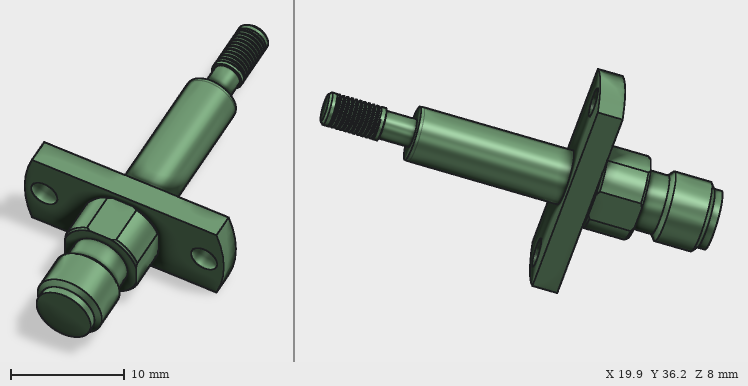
import cadquery as cq
import math


flange_length = 19.95
flange_height = 8.0
flange_thickness = 2.3
flange_end_radius = 11.22
mount_hole_diameter = 2.6
mount_hole_spacing = 16.0

connector_length = 11.48
collar_diameter = 6.08
collar_length = 0.2
nut_diameter = 7.7
nut_across_flats = 7.13
nut_length = 4.27
nut_chamfer_length = 0.2
nut_chamfer_depth = 0.15
barrel_diameter = 5.43
barrel_tip_length = 0.72
head_diameter = 6.45
head_length = 4.25
head_chamfer_length = 0.45

overall_length = 36.2
pin_length = 8.18
sleeve_diameter = 5.0
sleeve_chamfer_length = 0.3
sleeve_chamfer_depth = 0.05
pin_neck_diameter = 2.57
pin_diameter = 3.0
pin_head_length = 5.3
pin_tip_chamfer = 0.25

thread_pitch = 0.4
thread_turns = 12
thread_depth = 0.18
thread_groove_width = 0.3
tip_band_length = 0.7
shoulder_band_length = 0.4

connector_face = -connector_length
head_front = connector_face + barrel_tip_length
head_back = head_front + head_length
nut_back = -collar_length
nut_front = nut_back - nut_length
pin_tip = overall_length - connector_length
pin_shoulder = pin_tip - pin_head_length
sleeve_end = pin_tip - pin_length
thread_start = pin_shoulder + shoulder_band_length
thread_end = pin_tip - tip_band_length


def cylinder(diameter, start, end):
    """Round bar on the Y axis between two stations."""
    length = end - start
    return cq.Workplane("XZ", origin=(0, start, 0)).circle(diameter / 2).extrude(-length)


def chamfered_cylinder(diameter, start, end, chamfer_length, chamfer_depth, front, back):
    """Round bar on the Y axis with conical chamfers on the chosen ends."""
    radius = diameter / 2
    points = [(0, start)]
    if front:
        points += [(radius - chamfer_depth, start), (radius, start + chamfer_length)]
    else:
        points += [(radius, start)]
    if back:
        points += [(radius, end - chamfer_length), (radius - chamfer_depth, end)]
    else:
        points += [(radius, end)]
    points += [(0, end)]
    return cq.Workplane("XY").polyline(points).close().revolve(360, (0, 0), (0, 1))


def make_flange():
    """Plate with flat long sides, arched short ends and two mounting holes."""
    half_length = flange_length / 2
    half_height = flange_height / 2
    arch_rise = flange_end_radius - math.sqrt(flange_end_radius**2 - half_height**2)
    corner_x = half_length - arch_rise
    return (
        cq.Workplane("XZ")
        .moveTo(-corner_x, -half_height)
        .lineTo(corner_x, -half_height)
        .threePointArc((half_length, 0), (corner_x, half_height))
        .lineTo(-corner_x, half_height)
        .threePointArc((-half_length, 0), (-corner_x, -half_height))
        .close()
        .pushPoints([(-mount_hole_spacing / 2, 0), (mount_hole_spacing / 2, 0)])
        .circle(mount_hole_diameter / 2)
        .extrude(-flange_thickness)
    )


def make_nut():
    """Chamfered round nut with four wrench flats."""
    blank = chamfered_cylinder(
        nut_diameter, nut_front, nut_back, nut_chamfer_length, nut_chamfer_depth, True, True
    )
    flats = (
        cq.Workplane("XZ", origin=(0, nut_front, 0))
        .rect(nut_across_flats, nut_across_flats)
        .extrude(-nut_length)
    )
    return blank.intersect(flats)


def make_connector():
    """Barrel with a head chamfered down to it, a nut and a thin collar."""
    head_chamfer_depth = (head_diameter - barrel_diameter) / 2
    head = chamfered_cylinder(
        head_diameter, head_front, head_back, head_chamfer_length, head_chamfer_depth, True, True
    )
    barrel = cylinder(barrel_diameter, connector_face, 0)
    collar = cylinder(collar_diameter, nut_back, 0)
    return barrel.union(head).union(make_nut()).union(collar)


def make_thread_groove():
    """Left-hand helical V groove, swept along Z and then turned onto the Y axis."""
    surface_radius = pin_diameter / 2
    overshoot = 0.07
    half_width = thread_groove_width / 2 * (thread_depth + overshoot) / thread_depth
    helix_length = thread_turns * thread_pitch
    path = cq.Wire.makeHelix(thread_pitch, helix_length, surface_radius, lefthand=True)
    groove = (
        cq.Workplane("XZ")
        .polyline([
            (surface_radius - thread_depth, 0),
            (surface_radius + overshoot, -half_width),
            (surface_radius + overshoot, half_width),
        ])
        .close()
        .sweep(cq.Workplane(path), isFrenet=True)
    )
    return groove.rotate((0, 0, 0), (1, 0, 0), -90).translate((0, pin_shoulder, 0))


def make_pin():
    """Pin with a slim neck and a grooved head between two plain bands, chamfered at the tip."""
    neck = cylinder(pin_neck_diameter, sleeve_end, pin_shoulder)
    threaded_bar = cylinder(pin_diameter, pin_shoulder, pin_tip - pin_tip_chamfer).cut(make_thread_groove())
    shoulder_band = cylinder(pin_diameter, pin_shoulder, thread_start)
    tip_band = chamfered_cylinder(
        pin_diameter, thread_end, pin_tip, pin_tip_chamfer, pin_tip_chamfer, False, True
    )
    return threaded_bar.union(shoulder_band).union(tip_band).union(neck)


sleeve = chamfered_cylinder(
    sleeve_diameter, flange_thickness, sleeve_end,
    sleeve_chamfer_length, sleeve_chamfer_depth, False, True,
)

result = make_flange().union(make_connector()).union(sleeve).union(make_pin())